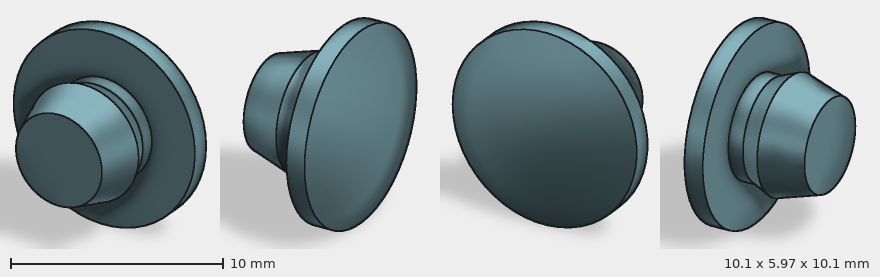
import cadquery as cq

head_radius = 10.1 / 2
neck_radius = 5.3 / 2
barb_radius = 6.1 / 2
tip_radius = 4.8 / 2

dome_height = 0.97
rim_thickness = 1.0
neck_length = 0.8
flare_length = 1.0
taper_length = 2.2

rim_top = rim_thickness
dome_top = rim_top + dome_height
neck_end = -neck_length
barb_edge = neck_end - flare_length
tip_end = barb_edge - taper_length

dome_radius = (head_radius**2 + dome_height**2) / (2 * dome_height)
dome_mid_x = head_radius / 2
dome_center = dome_top - dome_radius
dome_mid_y = dome_center + (dome_radius**2 - dome_mid_x**2) ** 0.5

half_section = (
    cq.Workplane("XY")
    .moveTo(0, tip_end)
    .lineTo(tip_radius, tip_end)
    .lineTo(barb_radius, barb_edge)
    .lineTo(neck_radius, neck_end)
    .lineTo(neck_radius, 0)
    .lineTo(head_radius, 0)
    .lineTo(head_radius, rim_top)
    .threePointArc((dome_mid_x, dome_mid_y), (0, dome_top))
    .close()
)

result = half_section.revolve(360, (0, 0, 0), (0, 1, 0))